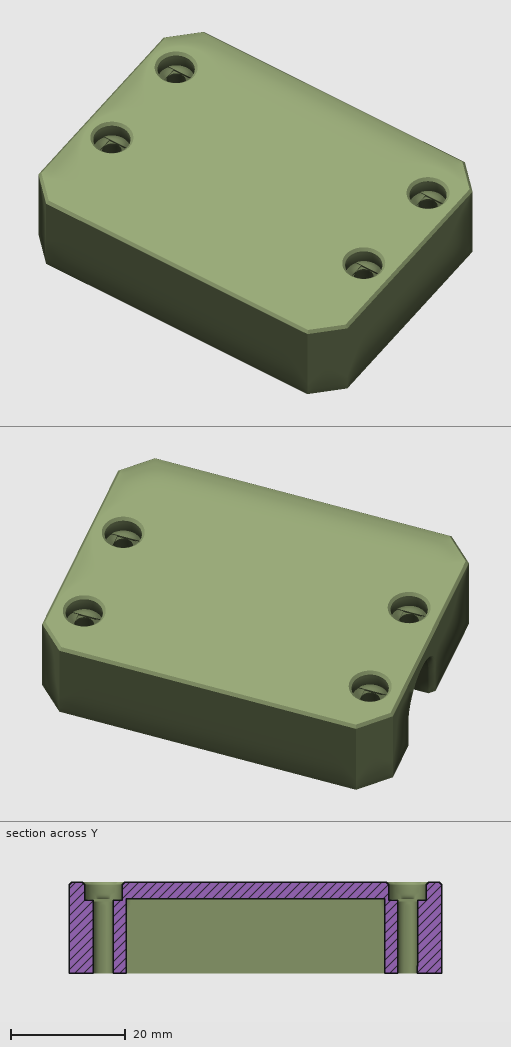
import cadquery as cq

length = 65.0
width = 49.0
height = 16.0
corner_chamfer = 5.0
top_chamfer = 0.5

end_wall = 10.0
side_wall = 3.0
roof = 3.0

screw_spacing_x = 53.0
screw_spacing_y = 20.0
pattern_center_y = 4.5
screw_diameter = 3.4
head_diameter = 6.5
head_depth = 3.0
head_chamfer = 0.5
bridge_step = 0.2

arch_radius = 6.0
arch_center_z = 6.0
arch_chamfer = 1.0


def make_block():
    """Octagonal block with a small chamfer around the top face."""
    block = cq.Workplane("XY").box(length, width, height, centered=(True, True, False))
    return block.edges("|Z").chamfer(corner_chamfer).faces(">Z").chamfer(top_chamfer)


def make_cavity():
    """Rectangular pocket leaving thick end walls for the screws."""
    return cq.Workplane("XY").box(
        length - 2 * end_wall,
        width - 2 * side_wall,
        height - roof,
        centered=(True, True, False),
    )


def make_screw_cutter():
    """Screw hole with a chamfered head recess, a bridging slot and a bridging square, centred on Z."""
    head_floor = height - head_depth
    slot_floor = head_floor - bridge_step
    square_floor = slot_floor - bridge_step

    hole = cq.Workplane("XY").circle(screw_diameter / 2).extrude(height)
    head_radius = head_diameter / 2
    head = cq.Workplane("XY", origin=(0, 0, head_floor)).circle(head_radius).extrude(head_depth)
    rim = (
        cq.Workplane("XY", origin=(0, 0, height))
        .circle(head_radius + head_chamfer)
        .workplane(offset=-head_chamfer)
        .circle(head_radius)
        .loft()
    )
    slot_bar = (
        cq.Workplane("XY", origin=(0, 0, slot_floor))
        .rect(head_diameter, screw_diameter)
        .extrude(bridge_step)
    )
    slot_disc = cq.Workplane("XY", origin=(0, 0, slot_floor)).circle(head_radius).extrude(bridge_step)
    slot = slot_bar.intersect(slot_disc)
    square = (
        cq.Workplane("XY", origin=(0, 0, square_floor))
        .rect(screw_diameter, screw_diameter)
        .extrude(bridge_step)
    )
    return hole.union(head).union(rim).union(slot).union(square)


def arch_outline(x, radius):
    """Closed arch profile on the plane at the given X, standing on the bottom face."""
    return (
        cq.Workplane("YZ", origin=(x, pattern_center_y, 0))
        .moveTo(-radius, 0)
        .lineTo(-radius, arch_center_z)
        .threePointArc((0, arch_center_z + radius), (radius, arch_center_z))
        .lineTo(radius, 0)
        .close()
    )


def make_arch_cutter():
    """Arched tunnel from the -X face into the cavity, flared at its mouth."""
    mouth_x = -length / 2
    tunnel = arch_outline(mouth_x, arch_radius).extrude(end_wall)
    outer_wire = arch_outline(mouth_x, arch_radius + arch_chamfer).val()
    inner_wire = arch_outline(mouth_x + arch_chamfer, arch_radius).val()
    flare = cq.Solid.makeLoft([outer_wire, inner_wire], True)
    return tunnel.union(cq.Workplane(flare))


result = make_block().cut(make_cavity()).cut(make_arch_cutter())

screw_cutter = make_screw_cutter()
for side_x in (-1, 1):
    for side_y in (-1, 1):
        screw_x = side_x * screw_spacing_x / 2
        screw_y = pattern_center_y + side_y * screw_spacing_y / 2
        result = result.cut(screw_cutter.translate((screw_x, screw_y, 0)))